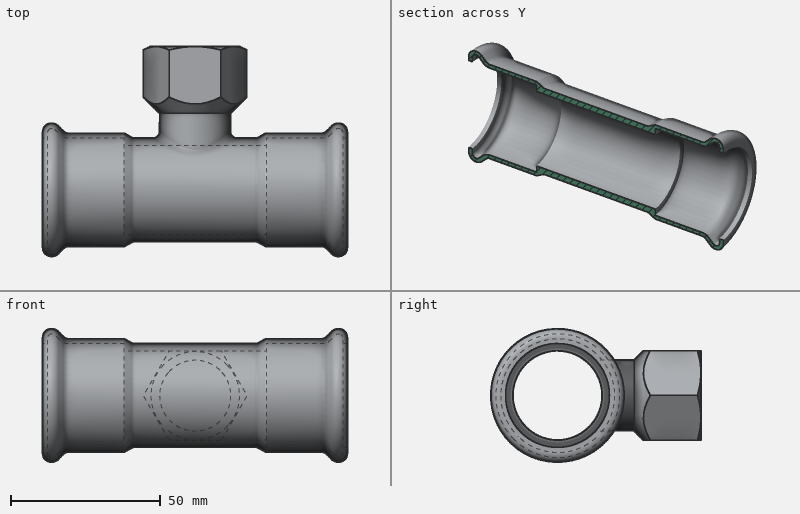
import cadquery as cq
import math

length = 102.0
half_length = length / 2
roll_radius = 22.3
roll_section = 3.1
socket_radius = 38.0 / 2
socket_wall = 1.6
socket_bore_radius = socket_radius - socket_wall
rim_blend = 2.1
socket_end = 27.2
middle_start = 30.2
middle_radius = 34.8 / 2
bore_radius = 14.9
step_blend = 1.2

branch_end = 48.0
neck_radius = 23.8 / 2
neck_top = 25.6
neck_blend = 2.0
hex_corner_diameter = 34.7
nut_face_radius = 14.8
nut_chamfer_height = 1.2

selection_margin = 0.1

diagonal = math.sqrt(0.5)
roll_center_radius = roll_radius - roll_section
roll_center_x = -half_length + roll_section


def flared_rim(profile, section, cylinder_radius, blend):
    """Draw the round rim from its end tangent, the flare and the blend into a cylinder."""
    flare_start_x = roll_center_x + section * diagonal
    flare_start_r = roll_center_radius + section * diagonal
    flare_end_r = cylinder_radius + blend * (1 - diagonal)
    flare_end_x = flare_start_x + flare_start_r - flare_end_r
    blend_end_x = flare_end_x + blend * diagonal
    half_flare = math.radians(45) / 2
    blend_mid = (
        blend_end_x - blend * math.sin(half_flare),
        cylinder_radius + blend * (1 - math.cos(half_flare)),
    )
    arc_mid = (roll_center_x - section * math.sin(half_flare),
               roll_center_radius + section * math.cos(half_flare))
    return (
        profile
        .lineTo(roll_center_x - section, roll_center_radius)
        .threePointArc(arc_mid, (flare_start_x, flare_start_r))
        .lineTo(flare_end_x, flare_end_r)
        .threePointArc(blend_mid, (blend_end_x, cylinder_radius))
    )


def make_half_run():
    """Solid outer shape from the -X end to the middle."""
    profile = cq.Workplane("XY").moveTo(-half_length, 0)
    profile = flared_rim(profile, roll_section, socket_radius, rim_blend)
    profile = (
        profile
        .lineTo(-half_length + socket_end, socket_radius)
        .lineTo(-half_length + middle_start, middle_radius)
        .lineTo(0, middle_radius)
        .lineTo(0, 0)
        .close()
    )
    half_run = profile.revolve(360, (0, 0, 0), (1, 0, 0))
    step_edges = cq.selectors.BoxSelector(
        (-half_length + socket_end - selection_margin, -roll_radius, -roll_radius),
        (-half_length + middle_start + selection_margin, roll_radius, roll_radius),
        boundingbox=True,
    )
    return half_run.edges("%CIRCLE").edges(step_edges).fillet(step_blend)


def make_half_bore():
    """Inside of one half: rim opening, seal groove, socket and the narrower bore."""
    groove_section = roll_section - socket_wall
    profile = (
        cq.Workplane("XY")
        .moveTo(-half_length, 0)
        .lineTo(-half_length, socket_bore_radius)
        .lineTo(roll_center_x - groove_section, socket_bore_radius)
    )
    profile = flared_rim(
        profile, groove_section, socket_bore_radius, rim_blend + socket_wall
    )
    profile = (
        profile
        .lineTo(-half_length + socket_end, socket_bore_radius)
        .lineTo(-half_length + socket_end, bore_radius)
        .lineTo(0, bore_radius)
        .lineTo(0, 0)
        .close()
    )
    return profile.revolve(360, (0, 0, 0), (1, 0, 0))


def both_halves(half):
    return half.union(half.mirror("YZ"))


def make_nut():
    """Hexagon with corners on +X and -X, trimmed by a cone at each end."""
    hexagon = (
        cq.Workplane("XZ", origin=(0, neck_top, 0))
        .polygon(6, hex_corner_diameter)
        .extrude(-(branch_end - neck_top))
    )
    corner_radius = hex_corner_diameter / 2
    cone_height = corner_radius - neck_radius
    envelope = (
        cq.Workplane("XY")
        .moveTo(0, neck_top)
        .lineTo(neck_radius, neck_top)
        .lineTo(corner_radius, neck_top + cone_height)
        .lineTo(corner_radius, branch_end - nut_chamfer_height)
        .lineTo(nut_face_radius, branch_end)
        .lineTo(0, branch_end)
        .close()
        .revolve(360, (0, 0, 0), (0, 1, 0))
    )
    return hexagon.intersect(envelope)


neck = cq.Workplane("XZ").circle(neck_radius).extrude(-neck_top)
run = both_halves(make_half_run())
body = run.union(neck)

seam_box = cq.selectors.BoxSelector(
    (-neck_radius - selection_margin, selection_margin, -neck_radius - selection_margin),
    (neck_radius + selection_margin, neck_top - selection_margin, neck_radius + selection_margin),
    boundingbox=True,
)
seam = body.edges("not(%LINE or %CIRCLE)").edges(seam_box)
body = seam.fillet(neck_blend)

result = body.union(make_nut()).cut(both_halves(make_half_bore()))